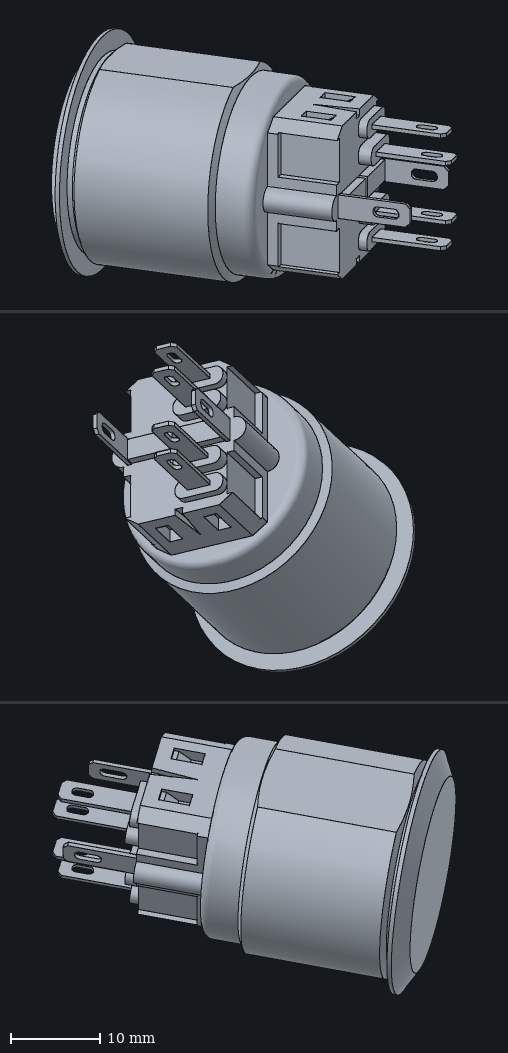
import cadquery as cq
import math


LENGTH = 42.8
FLANGE_DIA = 28.0
FACE_DIA = 22.43
BEVEL_END_X = 1.5
FLANGE_END_X = 2.0
COLLAR_DIA = 23.1
COLLAR_TIP_DIA = 21.0
BARREL_DIA = 25.0
BARREL_START_X = 2.65
BARREL_END_X = 19.7
BARREL_CONE_ANGLE = 60.0
FLAT_HEIGHT = 11.73
HOUSING_END_X = 24.22

BLOCK_END_X = 32.45
BLOCK_HALF_Z = 9.2
BLOCK_HALF_Y = 6.95
TOP_HALF_Y = 5.1
CORNER_Z = 7.9
RIB_RADIUS = 1.5

POCKET_START_X = 25.45
POCKET_LOW_Z = 2.8
POCKET_HIGH_Z = 8.05
POCKET_DEPTH = 0.9

WINDOW_START_X = 27.1
WINDOW_END_X = 30.65
WINDOW_WIDTH = 1.6
WINDOW_OFFSET_Y = 3.05
WINDOW_DEPTH = 1.55
RAMP_START_X = 28.68
RAMP_END_X = 30.1
RAMP_TOP_DEPTH = 0.43

NOTCH_START_X = WINDOW_START_X
NOTCH_WIDTH = 0.95
NOTCH_DEPTH = 0.75

BLADE_WIDTH = 2.82
BLADE_THICKNESS = 0.5
BLADE_CHAMFER = 0.5
CONTACT_Y = WINDOW_OFFSET_Y
CONTACT_SLOT = (2.45, 1.03, 1.45)
OUTER_CONTACT_Z = 6.75
OUTER_CONTACT_END_X = 42.2
OUTER_BASE_END_X = 33.45
INNER_CONTACT_Z = 3.55
INNER_BASE_END_X = 34.0
BASE_LENGTH = 6.0
BASE_HEIGHT = 2.25
BASE_CORNER_RADIUS = 1.03
LAMP_Y = 6.15
LAMP_END_X = 41.0
LAMP_SLOT = (3.1, 1.2, 1.33)
LAMP_BASE_END_X = OUTER_BASE_END_X
LAMP_BASE_HALF_Z = 1.3
LAMP_BASE_GAP_Y = 0.3


def box_between(x_range, y_range, z_range):
    """Box filling the given ranges along X, Y and Z."""
    size = [high - low for low, high in (x_range, y_range, z_range)]
    corner = (x_range[0], y_range[0], z_range[0])
    return cq.Workplane("XY").box(*size, centered=False).translate(corner)


def mirrored_pair(shape, plane):
    return shape.union(shape.mirror(plane))


def make_housing():
    """Flange, neck and collar turned around X, with a barrel flattened on top."""
    collar_radius = COLLAR_DIA / 2
    tip_radius = COLLAR_TIP_DIA / 2
    edge_radius = collar_radius - tip_radius
    edge_mid = edge_radius * math.sqrt(0.5)
    edge_start_x = HOUSING_END_X - edge_radius
    turned = (
        cq.Workplane("XY")
        .polyline([
            (0, 0),
            (0, FACE_DIA / 2),
            (BEVEL_END_X, FLANGE_DIA / 2),
            (FLANGE_END_X, FLANGE_DIA / 2),
            (FLANGE_END_X, collar_radius),
            (edge_start_x, collar_radius),
        ])
        .threePointArc(
            (edge_start_x + edge_mid, tip_radius + edge_mid),
            (HOUSING_END_X, tip_radius),
        )
        .lineTo(HOUSING_END_X, 0)
        .close()
        .revolve(360, (0, 0, 0), (1, 0, 0))
    )

    barrel_radius = BARREL_DIA / 2
    cone_length = (barrel_radius - collar_radius) / math.tan(math.radians(BARREL_CONE_ANGLE))
    barrel = (
        cq.Workplane("XY")
        .polyline([
            (BARREL_START_X, 0),
            (BARREL_START_X, collar_radius),
            (BARREL_START_X + cone_length, barrel_radius),
            (BARREL_END_X - cone_length, barrel_radius),
            (BARREL_END_X, collar_radius),
            (BARREL_END_X, 0),
        ])
        .close()
        .revolve(360, (0, 0, 0), (1, 0, 0))
    )
    below_flat = box_between(
        (BARREL_START_X, BARREL_END_X),
        (-barrel_radius, barrel_radius),
        (-barrel_radius, FLAT_HEIGHT),
    )
    return turned.union(barrel.intersect(below_flat))


def make_block():
    """Eight-sided block with a half-round rib on each side."""
    length = BLOCK_END_X - HOUSING_END_X
    plane = cq.Workplane("YZ", origin=(HOUSING_END_X, 0, 0))
    block = plane.polyline([
        (TOP_HALF_Y, BLOCK_HALF_Z),
        (BLOCK_HALF_Y, CORNER_Z),
        (BLOCK_HALF_Y, -CORNER_Z),
        (TOP_HALF_Y, -BLOCK_HALF_Z),
        (-TOP_HALF_Y, -BLOCK_HALF_Z),
        (-BLOCK_HALF_Y, -CORNER_Z),
        (-BLOCK_HALF_Y, CORNER_Z),
        (-TOP_HALF_Y, BLOCK_HALF_Z),
    ]).close().extrude(length)
    ribs = plane.pushPoints([(-BLOCK_HALF_Y, 0), (BLOCK_HALF_Y, 0)]).circle(RIB_RADIUS).extrude(length)
    return block.union(ribs)


def make_side_pockets():
    """Four pockets, open at the rear, beside the ribs."""
    pocket = box_between(
        (POCKET_START_X, BLOCK_END_X),
        (BLOCK_HALF_Y - POCKET_DEPTH, BLOCK_HALF_Y),
        (POCKET_LOW_Z, POCKET_HIGH_Z),
    )
    return mirrored_pair(mirrored_pair(pocket, "XZ"), "XY")


def make_snap_windows():
    """Windows whose floor climbs along a ramp to a shallow ledge."""
    ledge_z = BLOCK_HALF_Z - RAMP_TOP_DEPTH
    floor_z = BLOCK_HALF_Z - WINDOW_DEPTH
    window = (
        cq.Workplane("XZ", origin=(0, WINDOW_OFFSET_Y, 0))
        .polyline([
            (WINDOW_START_X, BLOCK_HALF_Z),
            (WINDOW_START_X, floor_z),
            (RAMP_START_X, floor_z),
            (RAMP_END_X, ledge_z),
            (WINDOW_END_X, ledge_z),
            (WINDOW_END_X, BLOCK_HALF_Z),
        ])
        .close()
        .extrude(WINDOW_WIDTH / 2, both=True)
    )
    return mirrored_pair(mirrored_pair(window, "XZ"), "XY")


def make_notches():
    """Flat-floored notches that widen from a point to the rear face."""
    notch = (
        cq.Workplane("XY", origin=(0, 0, BLOCK_HALF_Z))
        .polyline([
            (NOTCH_START_X, 0),
            (BLOCK_END_X, NOTCH_WIDTH / 2),
            (BLOCK_END_X, -NOTCH_WIDTH / 2),
        ])
        .close()
        .extrude(-NOTCH_DEPTH)
    )
    return mirrored_pair(notch, "XY")


def make_blade(end_x, slot):
    """Flat slotted blade in the XY plane, reaching back to the block."""
    slot_length, slot_width, slot_to_tip = slot
    length = end_x - BLOCK_END_X
    slot_x = end_x - slot_to_tip - slot_length / 2
    blade = (
        cq.Workplane("XY")
        .box(length, BLADE_WIDTH, BLADE_THICKNESS)
        .translate((BLOCK_END_X + length / 2, 0, 0))
        .edges("|Z and >X")
        .chamfer(BLADE_CHAMFER)
    )
    hole = (
        cq.Workplane("XY")
        .center(slot_x, 0)
        .slot2D(slot_length, slot_width)
        .extrude(BLADE_THICKNESS, both=True)
    )
    return blade.cut(hole)


def make_contact(z, end_x, base_end_x):
    """Horizontal switch contact standing in a rounded base."""
    base = (
        cq.Workplane("YZ", origin=(BLOCK_END_X, CONTACT_Y, z))
        .rect(BASE_LENGTH, BASE_HEIGHT)
        .extrude(base_end_x - BLOCK_END_X)
        .edges("|X")
        .fillet(BASE_CORNER_RADIUS)
    )
    return base.union(make_blade(end_x, CONTACT_SLOT).translate((0, CONTACT_Y, z)))


def make_lamp_terminal():
    """Upright lamp blade backed by a rectangular base."""
    blade = make_blade(LAMP_END_X, LAMP_SLOT).rotate((0, 0, 0), (1, 0, 0), 90).translate((0, LAMP_Y, 0))
    base = box_between(
        (BLOCK_END_X, LAMP_BASE_END_X),
        (LAMP_BASE_GAP_Y, LAMP_Y),
        (-LAMP_BASE_HALF_Z, LAMP_BASE_HALF_Z),
    )
    return blade.union(base)


housing = make_housing()
block = make_block().cut(make_side_pockets()).cut(make_snap_windows()).cut(make_notches())
outer_contact = make_contact(OUTER_CONTACT_Z, OUTER_CONTACT_END_X, OUTER_BASE_END_X)
inner_contact = make_contact(INNER_CONTACT_Z, LENGTH, INNER_BASE_END_X)
contacts = mirrored_pair(outer_contact.union(inner_contact), "XY")
lamp_terminals = mirrored_pair(make_lamp_terminal(), "XZ")

result = housing.union(block).union(contacts).union(lamp_terminals)